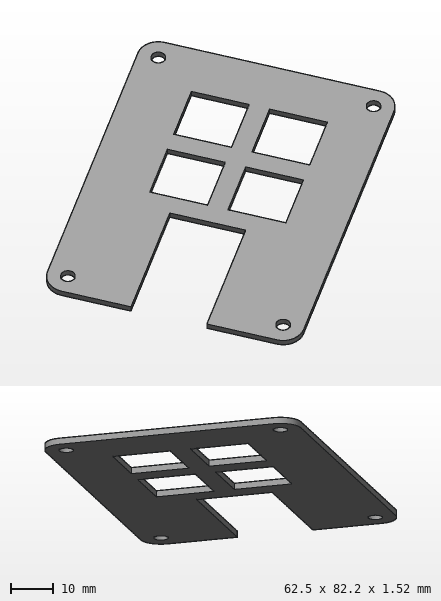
import cadquery as cq

plate_width = 62.54
plate_length = 82.2
plate_thickness = 1.52
corner_radius = 5.0

mount_hole_diameter = 3.4
mount_spacing_x = plate_width - 2 * corner_radius
mount_spacing_y = plate_length - 2 * corner_radius

switch_opening = 14.1
switch_pitch = 19.1
switch_count = 2
switch_grid_x = 0.83
switch_grid_y = 11.5

notch_width = 18.5
notch_depth = 31.0
notch_x = -0.1


def make_plate():
    """Flat plate with rounded corners, standing on Z = 0."""
    return (
        cq.Workplane("XY")
        .rect(plate_width, plate_length)
        .extrude(plate_thickness)
        .edges("|Z")
        .fillet(corner_radius)
    )


def make_mount_holes():
    """Cutters for the four corner holes."""
    return (
        cq.Workplane("XY")
        .rect(mount_spacing_x, mount_spacing_y, forConstruction=True)
        .vertices()
        .circle(mount_hole_diameter / 2)
        .extrude(plate_thickness)
    )


def make_switch_openings():
    """Cutters for the grid of square switch openings."""
    return (
        cq.Workplane("XY")
        .center(switch_grid_x, switch_grid_y)
        .rarray(switch_pitch, switch_pitch, switch_count, switch_count)
        .rect(switch_opening, switch_opening)
        .extrude(plate_thickness)
    )


def make_notch():
    """Cutter for the rectangular notch in the -Y edge."""
    notch_y = (notch_depth - plate_length) / 2
    return (
        cq.Workplane("XY")
        .center(notch_x, notch_y)
        .rect(notch_width, notch_depth)
        .extrude(plate_thickness)
    )


result = make_plate().cut(make_mount_holes()).cut(make_switch_openings()).cut(make_notch())